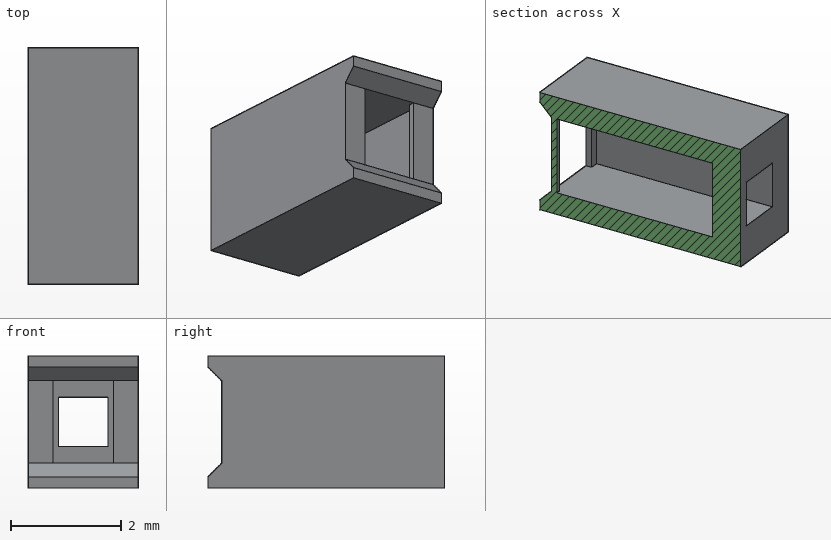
import cadquery as cq

width = 2.0
length = 4.3
height = 2.4

lip_thickness = 0.2
chamfer = 0.25

mouth_width = 1.1
post_depth = 0.125
undercut = 0.168
chamber_width = mouth_width + 2 * undercut
cavity_depth = 3.44

hole_side = 0.89

front_y = -length / 2
notch_y = front_y + chamfer
notch_half_mouth = height / 2 - lip_thickness
notch_half_floor = notch_half_mouth - chamfer


def block_with_notch():
    """Side outline with a tapered notch across the front, extruded over the width."""
    outline = [
        (-front_y, -height / 2),
        (-front_y, height / 2),
        (front_y, height / 2),
        (front_y, notch_half_mouth),
        (notch_y, notch_half_floor),
        (notch_y, -notch_half_floor),
        (front_y, -notch_half_mouth),
        (front_y, -height / 2),
    ]
    return cq.Workplane("YZ").polyline(outline).close().extrude(width / 2, both=True)


def pocket(pocket_width, start_y, end_y):
    """Rectangular pocket between two Y positions, level with the flat of the notch."""
    depth = end_y - start_y
    return (
        cq.Workplane("XY")
        .box(pocket_width, depth, 2 * notch_half_floor)
        .translate((0, start_y + depth / 2, 0))
    )


post_back_y = notch_y + post_depth
cavity_back_y = notch_y + cavity_depth
mouth = pocket(mouth_width, notch_y, post_back_y)
chamber = pocket(chamber_width, post_back_y, cavity_back_y)
through_hole = cq.Workplane("XY").box(hole_side, length, hole_side)

result = block_with_notch().cut(mouth).cut(chamber).cut(through_hole)